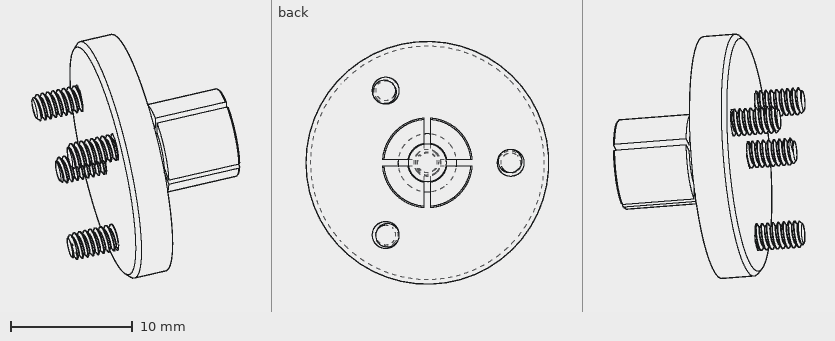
import cadquery as cq
import math


flange_diameter = 19.96
flange_thickness = 3.05
flange_chamfer = 0.38
neck_diameter = 4.8
hub_diameter = 7.39
hub_start = 4.57
hub_end = 10.68
hub_chamfer = 0.12
slot_width = 0.54
slot_start = 4.31

thread_diameter = 2.22
thread_pitch = 0.453
thread_depth = 0.3
thread_flat = thread_pitch / 8
tip_chamfer = 0.3
tip_projection = 3.83
stud_count = 3
stud_circle_radius = 6.85
first_stud_angle = 180.0
stud_thread_turn = 38.0
center_thread_turn = -18.0

head_diameter = 3.11
head_end = 11.04
head_rim_radius = 0.52
head_cone_angle = 15.0

thread_radius = thread_diameter / 2
root_radius = thread_radius - thread_depth
cone_slope = math.tan(math.radians(head_cone_angle))
rim_center_radius = head_diameter / 2 - head_rim_radius
rim_center_y = head_end - head_rim_radius
cone_top_radius = rim_center_radius + head_rim_radius * math.cos(math.radians(head_cone_angle))
cone_top_y = rim_center_y - head_rim_radius * math.sin(math.radians(head_cone_angle))
cone_bottom_y = cone_top_y - (cone_top_radius - thread_radius) / cone_slope


def along_y(shape, x, y, z):
    """Turn a shape built along +Z so that it runs along +Y, then move its base to a point."""
    return shape.rotate((0, 0, 0), (1, 0, 0), -90).translate((x, y, z))


def helix(radius, start, turns):
    wire = cq.Wire.makeHelix(thread_pitch, thread_pitch * turns, radius)
    return wire.Edges()[0].translate(cq.Vector(0, 0, start))


def thread_bar(length):
    """Right-hand thread along Z, at least a pitch longer than the given length at both ends.

    Flanks, crest and root are each ruled between two helices. Each end is closed by one turn of
    a spiral floor and by half of the thread's section through the axis.
    """
    turns = math.ceil(length / thread_pitch) + 4
    bar_start = -2 * thread_pitch
    bar_end = bar_start + turns * thread_pitch
    foot_low = (thread_flat - thread_pitch) / 2
    foot_high = foot_low + thread_pitch
    profile = [
        (root_radius, foot_low),
        (thread_radius, -thread_flat / 2),
        (thread_radius, thread_flat / 2),
        (root_radius, -foot_low),
        (root_radius, foot_high),
    ]
    helices = [helix(radius, bar_start + height, turns) for radius, height in profile]
    faces = [cq.Face.makeRuledSurface(low, high) for low, high in zip(helices, helices[1:])]
    for end in (bar_start, bar_end):
        axis = cq.Edge.makeLine(cq.Vector(0, 0, end + foot_low), cq.Vector(0, 0, end + foot_high))
        faces.append(cq.Face.makeRuledSurface(axis, helix(root_radius, end + foot_low, 1)))
        section_points = [(0, foot_low), *profile, (0, foot_high)]
        section = cq.Wire.makePolygon([cq.Vector(x, 0, end + z) for x, z in section_points], close=True)
        faces.append(cq.Face.makeFromWires(section))
    return cq.Workplane("XY").newObject([cq.Solid.makeSolid(cq.Shell.makeShell(faces))])


def make_threaded_rod(length, turn):
    """Threaded rod with a conical tip at z = 0 and a flat end; turn is the thread's angle about Z."""
    clear_radius = thread_radius + tip_chamfer
    envelope = (
        cq.Workplane("XZ")
        .lineTo(thread_radius - tip_chamfer, 0)
        .lineTo(clear_radius, clear_radius - thread_radius + tip_chamfer)
        .lineTo(clear_radius, length)
        .lineTo(0, length)
        .close()
        .revolve(360, (0, 0, 0), (0, 1, 0))
    )
    return thread_bar(length).rotate((0, 0, 0), (0, 0, 1), turn).intersect(envelope, clean=False)


def make_stud(turn):
    return make_threaded_rod(tip_projection + flange_thickness, turn)


def make_center_screw():
    rim_middle_angle = math.radians((90 - head_cone_angle) / 2)
    rim_middle = (
        rim_center_radius + head_rim_radius * math.cos(rim_middle_angle),
        rim_center_y + head_rim_radius * math.sin(rim_middle_angle),
    )
    head = (
        cq.Workplane("XY")
        .moveTo(0, cone_bottom_y)
        .lineTo(thread_radius, cone_bottom_y)
        .lineTo(cone_top_radius, cone_top_y)
        .threePointArc(rim_middle, (rim_center_radius, head_end))
        .lineTo(0, head_end)
        .close()
        .revolve(360, (0, 0, 0), (0, 1, 0))
    )
    rod = make_threaded_rod(tip_projection + cone_bottom_y, center_thread_turn)
    return along_y(rod, 0, -tip_projection, 0).union(head, clean=False)


def make_flanged_hub(stud_places):
    hub_mouth_radius = thread_radius + (hub_end - cone_bottom_y) * cone_slope
    body = (
        cq.Workplane("XY")
        .moveTo(thread_radius, 0)
        .lineTo(flange_diameter / 2 - flange_chamfer, 0)
        .lineTo(flange_diameter / 2, flange_chamfer)
        .lineTo(flange_diameter / 2, flange_thickness)
        .lineTo(neck_diameter / 2, flange_thickness)
        .lineTo(neck_diameter / 2, hub_start)
        .lineTo(hub_diameter / 2, hub_start)
        .lineTo(hub_diameter / 2, hub_end - hub_chamfer)
        .lineTo(hub_diameter / 2 - hub_chamfer, hub_end)
        .lineTo(hub_mouth_radius, hub_end)
        .lineTo(thread_radius, cone_bottom_y)
        .close()
        .revolve(360, (0, 0, 0), (0, 1, 0))
    )
    slot_length = hub_end - slot_start
    slot_middle = (slot_start + hub_end) / 2
    for width_x, width_z in ((slot_width, hub_diameter), (hub_diameter, slot_width)):
        slot = cq.Workplane("XY").box(width_x, slot_length, width_z).translate((0, slot_middle, 0))
        body = body.cut(slot)
    stud_hole = cq.Workplane("XY").circle(thread_radius).extrude(flange_thickness)
    for x, z in stud_places:
        body = body.cut(along_y(stud_hole, x, 0, z))
    return body


stud_angles = [first_stud_angle + 360 / stud_count * index for index in range(stud_count)]
stud_places = [
    (stud_circle_radius * math.cos(math.radians(angle)), stud_circle_radius * math.sin(math.radians(angle)))
    for angle in stud_angles
]

flanged_hub = make_flanged_hub(stud_places)
center_screw = make_center_screw()
studs = []
for angle, (x, z) in zip(stud_angles, stud_places):
    stud = make_stud(stud_thread_turn - angle)
    studs.append(along_y(stud, x, -tip_projection, z))

result = cq.Compound.makeCompound([flanged_hub.val(), center_screw.val(), *[copy.val() for copy in studs]])